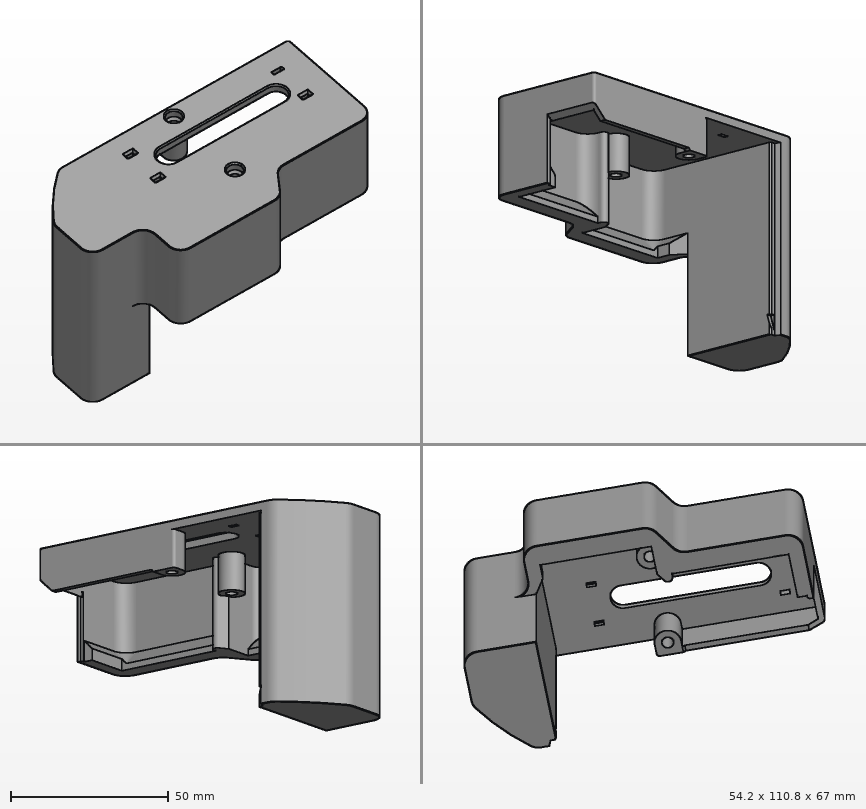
import cadquery as cq

HEIGHT = 67.0
ARM_BOTTOM = 34.0
PLATE = 3.0
CEILING = HEIGHT - PLATE
WALL = 2.0
EDGE = 0.2

LENGTH = 110.8
WIDTH = 54.2
NECK_X = 43.4
LEG_X = 37.3
LEG_BACK_Y = 24.1
ARM_FRONT_Y = 22.4
SHOULDER_INNER_Y = 71.4
SHOULDER_OUTER_Y = 64.2
CORNER = 5.0
SMALL_CORNER = 1.0
BOW_LEFT_Y = 17.1
BOW_RIGHT_X = 18.8
BOW_MID = (8.4, 8.0)

ROOM_X = NECK_X - WALL
ROOM_BACK_Y = LENGTH - WALL
BAY_X = WIDTH - WALL
NOSE_TIP_X = 30.3
NOSE_FRONT_X = 37.3
NOSE_BACK_Y = 67.9
NOSE_FRONT_Y = 63.2
NOSE_RADIUS = 1.5
BAY_CORNER = 2.9

LIP_TOP = 41.0
SIDE_LIP = 4.9
END_LIP = 3.1
REAR_LIP_START = 21.0
END_LIP_TAPER = 5.0

SLOT_X = 16.7
SLOT_Y = 70.3
SLOT_WIDTH = 8.1
SLOT_LENGTH = 51.9
RIM = 0.5
SCREW_Y = 60.6
LEFT_SCREW_X = 4.3
RIGHT_SCREW_X = 35.3
SCREWS = [(LEFT_SCREW_X, SCREW_Y), (RIGHT_SCREW_X, SCREW_Y)]
SCREW_HOLE = 3.8
SCREW_HEAD = 5.5
SCREW_HEAD_DEPTH = 2.9
BOSS = 8.5
SLIT_WIDTH = 1.4
SLIT_LENGTH = 3.0
SLIT_MOUTH_WIDTH = 2.7
SLIT_MOUTH_LENGTH = 4.1
SLIT_MOUTH_DEPTH = 1.1
SLIT_LEFT_X = 8.9
SLIT_RIGHT_X = 22.8
SLIT_REAR_Y = 99.3
SLIT_FRONT_Y = 39.2

WINDOW_BOTTOM = 52.2
WINDOW_SLOPE_Y = 105.5
WINDOW_REAR_Z = 56.9
REAR_WALL_START = 19.9
REAR_WALL_BEVEL = 0.5
TAB_BOTTOM = 51.4
TAB_BACK_Y = SCREW_Y + BOSS / 2
TAB_FRONT_Y = SCREW_Y - BOSS / 2
TAB_SLOPE = WINDOW_BOTTOM - TAB_BOTTOM
REBATE_Y = 21.5
REBATE_STEP_Y = 22.3
REBATE_BEVEL = 0.5

NOTCH_BOTTOM = 2.0
NOTCH_TOP = 6.9
NOTCH_DEPTH = 1.4
NOTCH_Y = 22.5


def box(x0, x1, y0, y1, z0, z1):
    """Box between two opposite corners."""
    return cq.Workplane("XY").box(x1 - x0, y1 - y0, z1 - z0, centered=False).translate((x0, y0, z0))


def round_upright(body, x, y, radius):
    """Fillet the vertical edge that stands at (x, y)."""
    reach = 0.05
    corner = cq.selectors.BoxSelector(
        (x - reach, y - reach, -HEIGHT), (x + reach, y + reach, 2 * HEIGHT)
    )
    return body.edges("|Z").edges(corner).fillet(radius)


def round_bow(body):
    """Soften both ends of the bowed front-left face."""
    body = round_upright(body, 0, BOW_LEFT_Y, CORNER)
    return round_upright(body, BOW_RIGHT_X, 0, CORNER)


def make_arm():
    arm = (
        cq.Workplane("XY", origin=(0, 0, ARM_BOTTOM))
        .moveTo(0, BOW_LEFT_Y)
        .threePointArc(BOW_MID, (BOW_RIGHT_X, 0))
        .lineTo(LEG_X, 0)
        .lineTo(LEG_X, ARM_FRONT_Y)
        .lineTo(WIDTH, ARM_FRONT_Y)
        .lineTo(WIDTH, SHOULDER_OUTER_Y)
        .lineTo(NECK_X, SHOULDER_INNER_Y)
        .lineTo(NECK_X, LENGTH)
        .lineTo(0, LENGTH)
        .close()
        .extrude(HEIGHT - ARM_BOTTOM)
    )
    arm = round_bow(arm)
    for x, y in [
        (LEG_X, 0),
        (LEG_X, ARM_FRONT_Y),
        (WIDTH, ARM_FRONT_Y),
        (WIDTH, SHOULDER_OUTER_Y),
        (NECK_X, SHOULDER_INNER_Y),
        (NECK_X, LENGTH),
    ]:
        arm = round_upright(arm, x, y, CORNER)
    arm = round_upright(arm, 0, LENGTH, SMALL_CORNER)
    return arm.faces("<Z or >Z").chamfer(EDGE)


def make_leg():
    leg = (
        cq.Workplane("XY")
        .moveTo(0, BOW_LEFT_Y)
        .threePointArc(BOW_MID, (BOW_RIGHT_X, 0))
        .lineTo(LEG_X, 0)
        .lineTo(LEG_X, LEG_BACK_Y)
        .lineTo(0, LEG_BACK_Y)
        .close()
        .extrude(CEILING)
    )
    leg = round_bow(leg)
    leg = round_upright(leg, LEG_X, 0, CORNER)
    return leg.faces("<Z").chamfer(EDGE)


def make_hollow():
    """Rear room and front bay, parted by a nose that juts from the right wall."""
    hollow = (
        cq.Workplane("XY", origin=(0, 0, ARM_BOTTOM))
        .moveTo(WALL, LEG_BACK_Y)
        .lineTo(BAY_X, LEG_BACK_Y)
        .lineTo(BAY_X, NOSE_FRONT_Y)
        .lineTo(NOSE_FRONT_X, NOSE_FRONT_Y)
        .lineTo(NOSE_TIP_X, NOSE_BACK_Y)
        .lineTo(ROOM_X, NOSE_BACK_Y)
        .lineTo(ROOM_X, ROOM_BACK_Y)
        .lineTo(WALL, ROOM_BACK_Y)
        .close()
        .extrude(CEILING - ARM_BOTTOM)
    )
    hollow = round_upright(hollow, BAY_X, LEG_BACK_Y, CORNER)
    hollow = round_upright(hollow, BAY_X, NOSE_FRONT_Y, BAY_CORNER)
    hollow = round_upright(hollow, NOSE_TIP_X, NOSE_BACK_Y, NOSE_RADIUS)
    hollow = round_upright(hollow, ROOM_X, NOSE_BACK_Y, CORNER)
    return round_upright(hollow, ROOM_X, ROOM_BACK_Y, CORNER)


def make_well(wall, front, back):
    """Space that narrows downwards at 45 degrees, bounded by a right wall and two end walls."""
    plan = cq.Sketch().rect(2 * wall, back - front).vertices(">X").fillet(CORNER)
    well = cq.Workplane("XY").placeSketch(plan).extrude(SIDE_LIP, taper=45)
    well = well.mirror("XY")
    return well.translate((0, (front + back) / 2, LIP_TOP))


def make_room_lip():
    """Lip along the right and rear walls of the room."""
    side = box(ROOM_X - SIDE_LIP, ROOM_X, NOSE_BACK_Y, ROOM_BACK_Y, ARM_BOTTOM, LIP_TOP)
    rear = box(REAR_LIP_START, ROOM_X, ROOM_BACK_Y - END_LIP, ROOM_BACK_Y, ARM_BOTTOM, LIP_TOP)
    return side.union(rear).cut(make_well(ROOM_X, NOSE_FRONT_Y - SIDE_LIP, ROOM_BACK_Y))


def make_bay_lip():
    """Lip along the right and front walls of the bay; its front end is cut off at a slant."""
    side = box(BAY_X - SIDE_LIP, BAY_X, LEG_BACK_Y, NOSE_FRONT_Y, ARM_BOTTOM, LIP_TOP)
    front = (
        cq.Workplane("XY", origin=(0, 0, ARM_BOTTOM))
        .moveTo(LEG_X, LEG_BACK_Y)
        .lineTo(LEG_X + END_LIP_TAPER, LEG_BACK_Y + END_LIP)
        .lineTo(BAY_X, LEG_BACK_Y + END_LIP)
        .lineTo(BAY_X, LEG_BACK_Y)
        .close()
        .extrude(LIP_TOP - ARM_BOTTOM)
    )
    return side.union(front).cut(make_well(BAY_X, LEG_BACK_Y, NOSE_BACK_Y + SIDE_LIP))


def make_left_opening():
    """Opening through the left wall, stepped around the screw tab."""
    below = ARM_BOTTOM - EDGE
    return (
        cq.Workplane("YZ")
        .moveTo(LEG_BACK_Y, below)
        .lineTo(LEG_BACK_Y, CEILING)
        .lineTo(TAB_FRONT_Y + SMALL_CORNER, CEILING)
        .lineTo(TAB_FRONT_Y + SMALL_CORNER, TAB_BOTTOM)
        .lineTo(TAB_BACK_Y, TAB_BOTTOM)
        .lineTo(TAB_BACK_Y + TAB_SLOPE, WINDOW_BOTTOM)
        .lineTo(WINDOW_SLOPE_Y, WINDOW_BOTTOM)
        .lineTo(WINDOW_SLOPE_Y, below)
        .close()
        .extrude(WALL)
    )


def make_rear_opening():
    """The same opening carried around into the rear wall, with a sloped top."""
    below = ARM_BOTTOM - EDGE
    return (
        cq.Workplane("YZ")
        .moveTo(WINDOW_SLOPE_Y, below)
        .lineTo(WINDOW_SLOPE_Y, WINDOW_BOTTOM)
        .lineTo(LENGTH, WINDOW_REAR_Z)
        .lineTo(LENGTH, below)
        .close()
        .extrude(REAR_WALL_START)
    )


def make_rear_wall_bevel():
    """Bevel on the inner corner where the rear wall starts."""
    return (
        cq.Workplane("XY", origin=(0, 0, ARM_BOTTOM))
        .moveTo(REAR_WALL_START, ROOM_BACK_Y)
        .lineTo(REAR_WALL_START + REAR_WALL_BEVEL, ROOM_BACK_Y)
        .lineTo(REAR_WALL_START, ROOM_BACK_Y + REAR_WALL_BEVEL)
        .close()
        .extrude(WINDOW_REAR_Z - ARM_BOTTOM)
    )


def make_rebate():
    """Stepped and bevelled corner along the full height of the leg."""
    return (
        cq.Workplane("XY")
        .moveTo(0, REBATE_Y)
        .lineTo(WALL, REBATE_STEP_Y)
        .lineTo(WALL, LEG_BACK_Y - REBATE_BEVEL)
        .lineTo(WALL + REBATE_BEVEL, LEG_BACK_Y)
        .lineTo(0, LEG_BACK_Y)
        .close()
        .extrude(CEILING)
    )


def make_notch():
    """Notch with a sloped floor, cut into the rebated corner of the leg."""
    return (
        cq.Workplane("XZ")
        .moveTo(WALL, NOTCH_BOTTOM)
        .lineTo(WALL, NOTCH_TOP)
        .lineTo(WALL + NOTCH_DEPTH, NOTCH_TOP)
        .close()
        .extrude(NOTCH_Y - LEG_BACK_Y)
        .translate((0, NOTCH_Y, 0))
    )


def make_bosses():
    """Round screw bosses; the left one runs into the left wall."""
    height = CEILING - TAB_BOTTOM
    bosses = cq.Workplane("XY").pushPoints(SCREWS).circle(BOSS / 2).extrude(height)
    bosses = bosses.intersect(box(LEFT_SCREW_X, WIDTH, 0, LENGTH, 0, height))
    tab = box(0, LEFT_SCREW_X, TAB_FRONT_Y, TAB_BACK_Y, 0, height)
    tab = round_upright(tab, 0, TAB_FRONT_Y, SMALL_CORNER)
    return bosses.union(tab).translate((0, 0, TAB_BOTTOM))


def make_screw_hole(x, y):
    """Through hole with a conical seat, a sunk head and a broken rim."""
    hole, head = SCREW_HOLE / 2, SCREW_HEAD / 2
    seat = SCREW_HEAD_DEPTH + head - hole
    return (
        cq.Workplane("XZ")
        .lineTo(head + RIM, 0)
        .lineTo(head, -RIM)
        .lineTo(head, -SCREW_HEAD_DEPTH)
        .lineTo(hole, -seat)
        .lineTo(hole, TAB_BOTTOM - HEIGHT)
        .lineTo(0, TAB_BOTTOM - HEIGHT)
        .close()
        .revolve(360, (0, 0, 0), (0, 1, 0))
        .translate((x, y, HEIGHT))
    )


def make_slit(x, y, mouth_width):
    """Narrow slit through the plate with a flared mouth."""
    slit = box(-SLIT_WIDTH / 2, SLIT_WIDTH / 2, -SLIT_LENGTH / 2, SLIT_LENGTH / 2, -PLATE, 0)
    mouth = (
        cq.Workplane("XY")
        .rect(mouth_width, SLIT_MOUTH_LENGTH)
        .workplane(offset=-SLIT_MOUTH_DEPTH)
        .rect(SLIT_WIDTH, SLIT_LENGTH)
        .loft()
    )
    return slit.union(mouth).translate((x, y, HEIGHT))


result = make_arm().union(make_leg())
result = result.cut(make_hollow())
result = result.union(make_room_lip()).union(make_bay_lip())
result = result.cut(make_left_opening()).cut(make_rear_opening()).cut(make_rear_wall_bevel())
result = result.cut(make_rebate()).cut(make_notch())
result = result.union(make_bosses())

for x, y in SCREWS:
    result = result.cut(make_screw_hole(x, y))

slot_middle = cq.Workplane("XY", origin=(SLOT_X, SLOT_Y, HEIGHT))
slot = slot_middle.slot2D(SLOT_LENGTH, SLOT_WIDTH, 90).extrude(-PLATE)
slot_rim = slot_middle.slot2D(SLOT_LENGTH + 2 * RIM, SLOT_WIDTH + 2 * RIM, 90).extrude(-RIM, taper=45)
result = result.cut(slot).cut(slot_rim)

for x, y, mouth_width in [
    (SLIT_LEFT_X, SLIT_REAR_Y, SLIT_WIDTH),
    (SLIT_RIGHT_X, SLIT_REAR_Y, SLIT_MOUTH_WIDTH),
    (SLIT_LEFT_X, SLIT_FRONT_Y, SLIT_MOUTH_WIDTH),
    (SLIT_RIGHT_X, SLIT_FRONT_Y, SLIT_MOUTH_WIDTH),
]:
    result = result.cut(make_slit(x, y, mouth_width))